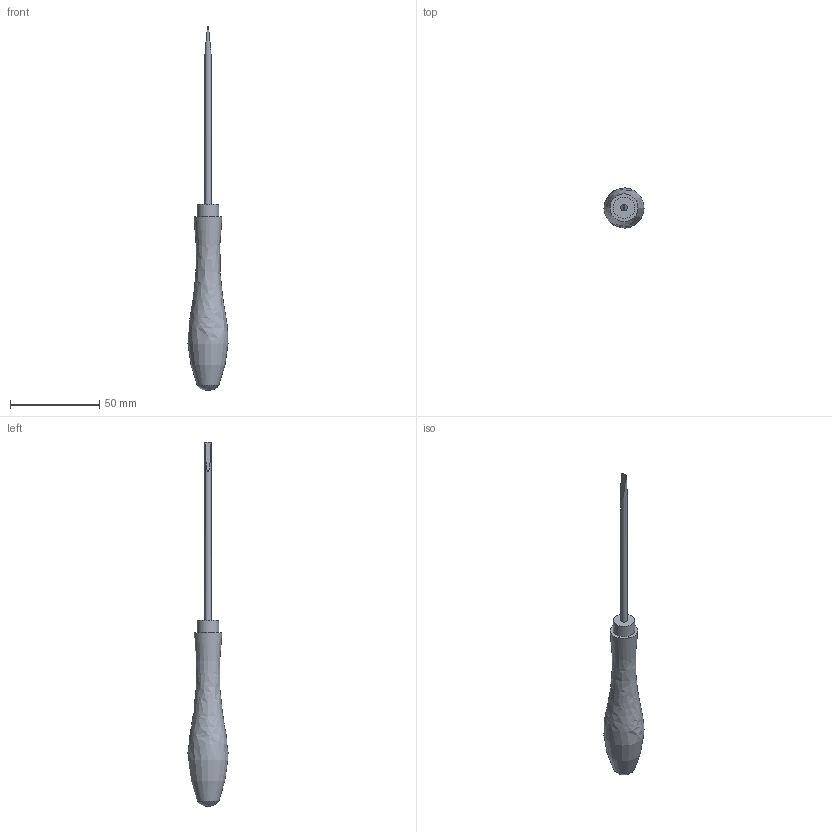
import cadquery as cq


total_length = 203.94
blade_length = 100.0
collar_length = 7.0
butt_dome_height = 2.7

butt_flat_radius = 1.5
butt_radius = 6.0
lower_belly_radius = 9.75
lower_belly_z = 15.0
belly_diameter = 22.55
belly_z = 29.5
shoulder_radius = 8.6
shoulder_z = 49.3
waist_radius = 6.6
waist_z = 75.5
grip_top_radius = 7.8

collar_radius = 6.0

shaft_radius = 1.75
tip_thickness = 0.6
tip_grind_length = 16.5

collar_top_z = total_length - blade_length
grip_top_z = collar_top_z - collar_length


def make_handle():
    """Revolve the swelling grip with its rounded butt and plain collar."""
    grip_curve = [
        (lower_belly_radius, lower_belly_z),
        (belly_diameter / 2, belly_z),
        (shoulder_radius, shoulder_z),
        (waist_radius, waist_z),
        (grip_top_radius, grip_top_z),
    ]
    profile = (
        cq.Workplane("XZ")
        .moveTo(0, 0)
        .lineTo(butt_flat_radius, 0)
        .tangentArcPoint((butt_radius, butt_dome_height), relative=False)
        .spline(grip_curve, includeCurrent=True)
        .lineTo(collar_radius, grip_top_z)
        .lineTo(collar_radius, collar_top_z)
        .lineTo(0, collar_top_z)
        .close()
    )
    return profile.revolve(360, (0, 0, 0), (0, 1, 0))


def make_blade():
    """Round shaft whose -X and +X sides taper to a flat tip that is wide along Y."""
    shaft = cq.Workplane("XY").workplane(offset=collar_top_z).circle(shaft_radius).extrude(blade_length)
    grind_start_z = total_length - tip_grind_length
    side_profile = (
        cq.Workplane("XZ")
        .moveTo(-shaft_radius, collar_top_z)
        .lineTo(shaft_radius, collar_top_z)
        .lineTo(shaft_radius, grind_start_z)
        .lineTo(tip_thickness / 2, total_length)
        .lineTo(-tip_thickness / 2, total_length)
        .lineTo(-shaft_radius, grind_start_z)
        .close()
        .extrude(shaft_radius, both=True)
    )
    return shaft.intersect(side_profile)


result = make_handle().union(make_blade())